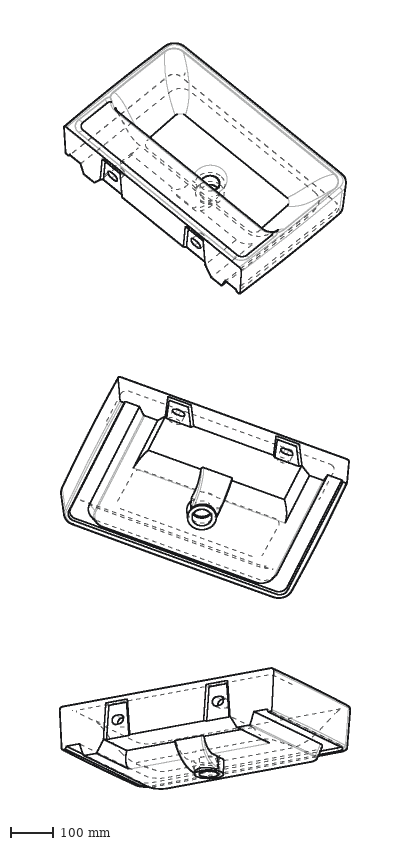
import cadquery as cq
import math


crown_half_width = 299.53
crown_depth = 369.44
base_half_width = 294.2
base_depth = 364.0
side_bow = 2.6
side_peak_y = 143.0
front_bow = 0.8
rim_fall = 2.0
body_corner = 34.0
base_z = -107.0
rim_round = 8.0
base_round = 4.0
crown_z = -rim_round


def section(half_width, back, front, corner, back_z, front_z):
    """Rounded rectangle bounding a void: its plan and the heights of its back and front edges."""
    return {
        "half_width": half_width,
        "back": back,
        "front": front,
        "corner": corner,
        "back_z": back_z,
        "front_z": front_z,
    }


basin_rim = section(285.0, 122.0, 354.0, 30.0, 0.0, 0.0)
basin_waist = section(253.0, 125.0, 332.0, 38.0, -44.0, -44.0)
basin_bend = section(216.0, 133.0, 304.0, 30.0, -92.0, -87.0)
basin_floor = section(187.0, 151.5, 277.5, 17.0, -116.0, -104.5)

deck_top = section(285.0, 10.0, 150.0, 26.0, 0.0, 0.0)
deck_bottom = section(274.0, 25.0, 137.0, 16.0, -6.0, -6.0)
deck_edge_round = 6.0
rim_inner_round = 2.5

lip_width = 13.0
groove_z = -100.0
groove_draft = 3.0

belly_top_half_width = 242.0
belly_half_width = 231.0
belly_top_depth = 333.0
belly_depth = 326.0
belly_corner = 35.0
belly_z = -131.3
belly_round = 3.0

recess_z = groove_z
recess_top_half_width = 175.0
recess_bottom_half_width = 195.0
recess_top_depth = 104.0
recess_bend_depth = 119.0
recess_bend_z = -119.0
recess_bottom_depth = 145.0

drain_y = 189.5
outlet_radius = 34.0
outlet_top_radius = 36.0
outlet_z = -164.5
outlet_overlap = 8.0
drain_radius = 23.0
drain_mouth_radius = 41.0
drain_clearance = 1.0
duct_center_y = 175.0
duct_center_z = -80.0
duct_radius = 80.5
duct_top_z = -94.0
duct_top_half_width = 40.0
duct_bottom_half_width = 33.0
duct_top_front = 112.0
duct_belly_front = 168.6
duct_bottom_front = 181.0
duct_round = 4.0

pocket_x = 139.0
pocket_top_z = -11.0
pocket_top_half_width = 30.0
pocket_bottom_half_width = 36.5
pocket_depth = 5.0
pocket_draft = 5.5
pocket_corner = 5.0
slot_length = 31.0
slot_height = 22.0
slot_z = -55.5
slot_depth = 30.0

edge_margin = 2.0

wall_edge = cq.selectors.DirectionMinMaxSelector(cq.Vector(0, 1, 0), directionMax=False)
not_on_wall = cq.selectors.InverseSelector(wall_edge)


def wall_to(path, peak, end, bow):
    """Continue the path to the end point, straight or bulging through the peak point."""
    return path.threePointArc(peak, end) if bow else path.lineTo(*end)


def open_back_outline(half_width, depth, corner, z, side_bulge=0.0, front_bulge=0.0):
    """Wire with a straight back at Y = 0, rounded front corners and bowed sides and front."""
    side = half_width - side_bulge
    front = depth - front_bulge
    shoulder = front - corner
    inset = corner * (1 - math.sqrt(0.5))
    path = cq.Workplane("XY", origin=(0, 0, z)).moveTo(-side, 0).lineTo(side, 0)
    path = wall_to(path, (half_width, side_peak_y), (side, shoulder), side_bulge)
    path = path.threePointArc((side - inset, front - inset), (side - corner, front))
    path = wall_to(path, (0, depth), (corner - side, front), front_bulge)
    path = path.threePointArc((inset - side, front - inset), (-side, shoulder))
    path = wall_to(path, (-half_width, side_peak_y), (-side, 0), side_bulge)
    return path.wire().val()


def rounded_rectangle(spec):
    """Wire of a rounded rectangle, tilted about X when its front and back heights differ."""
    depth = spec["front"] - spec["back"]
    middle = (spec["front"] + spec["back"]) / 2
    rise = spec["front_z"] - spec["back_z"]
    tilt = math.degrees(math.atan2(rise, depth))
    length = math.hypot(depth, rise)
    block = cq.Workplane("XY").rect(2 * spec["half_width"], length).extrude(spec["corner"])
    outline = block.edges("|Z").fillet(spec["corner"]).faces("<Z").wires().val()
    outline = outline.rotate(cq.Vector(0, 0, 0), cq.Vector(1, 0, 0), tilt)
    return outline.translate(cq.Vector(0, middle, (spec["front_z"] + spec["back_z"]) / 2))


def loft(wires, ruled=True):
    """Solid through the wires, with straight or smooth walls between them."""
    return cq.Workplane(cq.Solid.makeLoft(wires, ruled))


def make_body():
    """Solid block with drafted, slightly bowed walls and a rim that falls towards the front."""
    slope_x = (crown_half_width - base_half_width) / (crown_z - base_z)
    slope_y = (crown_depth - base_depth) / (crown_z - base_z)
    top_half_width = crown_half_width - slope_x * crown_z
    top_depth = crown_depth - slope_y * crown_z
    base = open_back_outline(base_half_width, base_depth, body_corner, base_z, side_bow, front_bow)
    rim = open_back_outline(top_half_width, top_depth, body_corner, 0, side_bow, front_bow)
    rim_tilt = math.degrees(math.atan2(rim_fall, top_depth))
    body = loft([base, rim.rotate(cq.Vector(0, 0, 0), cq.Vector(1, 0, 0), -rim_tilt)])
    body = body.faces(">Z").edges(not_on_wall).fillet(rim_round)
    return body.faces("<Z").edges(not_on_wall).fillet(base_round)


def make_groove():
    """Void inside the skirt lip; the belly fills its middle."""
    half_width = base_half_width - lip_width
    depth = base_depth - lip_width
    corner = body_corner - lip_width
    return loft([
        open_back_outline(half_width, depth, corner, base_z),
        open_back_outline(half_width - groove_draft, depth - groove_draft, corner, groove_z),
    ])


def make_belly():
    """Tapered bulge under the basin."""
    belly = loft([
        open_back_outline(belly_half_width, belly_depth, belly_corner, belly_z),
        open_back_outline(belly_top_half_width, belly_top_depth, belly_corner, groove_z),
    ])
    return belly.faces("<Z").edges(not_on_wall).fillet(belly_round)


def make_recess():
    """Void behind the belly, widening downwards and ending on a rounded wall."""
    outline = [
        (-recess_top_half_width, recess_z),
        (recess_top_half_width, recess_z),
        (recess_bottom_half_width, belly_z),
        (-recess_bottom_half_width, belly_z),
    ]
    opening = cq.Workplane("XZ").polyline(outline).close().extrude(-recess_bottom_depth)
    end_wall = (
        cq.Workplane("YZ")
        .moveTo(0, recess_z)
        .lineTo(recess_top_depth, recess_z)
        .threePointArc((recess_bend_depth, recess_bend_z), (recess_bottom_depth, belly_z))
        .lineTo(0, belly_z)
        .close()
        .extrude(recess_bottom_half_width, both=True)
    )
    return opening.intersect(end_wall)


def make_outlet():
    """Tapered spout under the drain."""
    outline = [
        (0, outlet_z),
        (outlet_radius, outlet_z),
        (outlet_top_radius, belly_z + outlet_overlap),
        (0, belly_z + outlet_overlap),
    ]
    spout = cq.Workplane("XZ").polyline(outline).close().revolve(360, (0, 0, 0), (0, 1, 0))
    return spout.translate((0, drain_y, 0))


def make_duct():
    """Curved overflow duct running from the recess to the outlet, with tapering flanks."""
    duct_bottom_z = duct_center_z - duct_radius
    disc = (
        cq.Workplane("YZ", origin=(0, duct_center_y, duct_center_z))
        .circle(duct_radius)
        .extrude(duct_top_half_width, both=True)
    )
    flanks = [
        (-duct_top_half_width, duct_top_z),
        (duct_top_half_width, duct_top_z),
        (duct_bottom_half_width, duct_bottom_z),
        (-duct_bottom_half_width, duct_bottom_z),
    ]
    channel = cq.Workplane("XZ").polyline(flanks).close().extrude(-duct_bottom_front)
    side = [
        (0, duct_top_z),
        (duct_top_front, duct_top_z),
        (duct_belly_front, belly_z),
        (duct_bottom_front, duct_bottom_z),
        (0, duct_bottom_z),
    ]
    front_limit = cq.Workplane("YZ").polyline(side).close().extrude(duct_top_half_width, both=True)
    duct = disc.intersect(channel).intersect(front_limit)
    return duct.edges("%ELLIPSE").fillet(duct_round)


def make_basin():
    """Void of the bowl, blended smoothly through its sections."""
    sections = (basin_floor, basin_bend, basin_waist, basin_rim)
    return loft([rounded_rectangle(spec) for spec in sections], ruled=False)


def make_deck():
    """Void of the shallow deck."""
    return loft([rounded_rectangle(deck_bottom), rounded_rectangle(deck_top)])


def make_drain():
    """Void of the drain: a flared mouth square to the sloping floor over a vertical bore."""
    rise = basin_floor["front_z"] - basin_floor["back_z"]
    run = basin_floor["front"] - basin_floor["back"]
    floor_z = basin_floor["back_z"] + rise / run * (drain_y - basin_floor["back"])
    flare = drain_mouth_radius - drain_radius
    bend = flare * (1 - math.sqrt(0.5))
    mouth = (
        cq.Workplane("XZ")
        .moveTo(0, drain_clearance)
        .lineTo(0, -flare)
        .lineTo(drain_radius, -flare)
        .threePointArc((drain_radius + bend, -bend), (drain_mouth_radius, 0))
        .lineTo(drain_mouth_radius, drain_clearance)
        .close()
        .revolve(360, (0, 0, 0), (0, 1, 0))
        .rotate((0, 0, 0), (1, 0, 0), math.degrees(math.atan2(rise, run)))
        .translate((0, drain_y, floor_z))
    )
    bore = (
        cq.Workplane("XY", origin=(0, drain_y, outlet_z - drain_clearance))
        .circle(drain_radius)
        .extrude(floor_z - outlet_z + drain_clearance)
    )
    return mouth.union(bore)


def pocket_outline(x, inset, y):
    """Trapezoid wire open towards the recess; the inset narrows the sides and lowers the top."""
    top = pocket_top_half_width - inset
    bottom = pocket_bottom_half_width - inset
    points = [
        (x - bottom, recess_z),
        (x + bottom, recess_z),
        (x + top, pocket_top_z - inset),
        (x - top, pocket_top_z - inset),
    ]
    return cq.Workplane("XZ", origin=(0, y, 0)).polyline(points).close().val()


def make_bracket_pocket(x):
    """Void of a shallow bracket pocket with its fixing slot."""
    pocket = loft([pocket_outline(x, 0, 0), pocket_outline(x, pocket_draft, pocket_depth)])
    corners = cq.selectors.BoxSelector(
        (x - pocket_bottom_half_width, edge_margin, pocket_top_z - pocket_draft),
        (x + pocket_bottom_half_width, pocket_depth - edge_margin, pocket_top_z),
    )
    pocket = pocket.edges(corners).fillet(pocket_corner)
    slot = (
        cq.Workplane("XZ", origin=(x, 0, slot_z))
        .slot2D(slot_length, slot_height)
        .extrude(-slot_depth)
    )
    return pocket.union(slot)


def round_deck_edge(basin):
    """Round the edge where the deck drops into the basin."""
    deck_z = deck_bottom["back_z"]
    reach = deck_bottom["half_width"] - edge_margin
    edge = cq.selectors.BoxSelector(
        (-reach, basin_rim["back"] - deck_edge_round, deck_z - edge_margin),
        (reach, basin_rim["back"] + deck_edge_round, deck_z + edge_margin),
    )
    return basin.edges(edge).fillet(deck_edge_round)


def round_rim_edge(basin):
    """Round the inner edge of the rim around the basin and the deck."""
    reach = basin_rim["half_width"]
    opening = cq.selectors.BoxSelector(
        (-reach, deck_top["back"] - edge_margin, -rim_fall - edge_margin),
        (reach, basin_rim["front"] + edge_margin, edge_margin),
    )
    deck_front = cq.selectors.BoxSelector(
        (-reach, deck_bottom["front"] - edge_margin, -rim_fall - edge_margin),
        (reach, deck_top["front"] + edge_margin, edge_margin),
    )
    return basin.edges(opening - deck_front).fillet(rim_inner_round)


result = make_body().cut(make_groove()).union(make_belly())
result = result.cut(make_basin()).cut(make_deck())
result = round_rim_edge(round_deck_edge(result))
result = result.cut(make_recess())
result = result.union(make_outlet()).union(make_duct()).cut(make_drain())
for side in (-1, 1):
    result = result.cut(make_bracket_pocket(side * pocket_x))